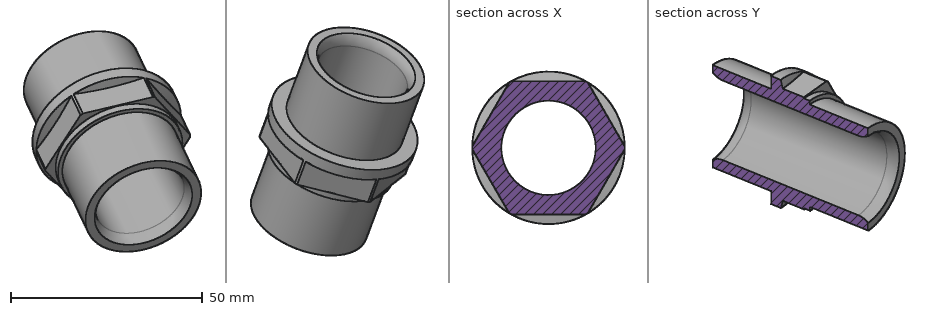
import cadquery as cq
import math

length = 51.0
pipe_diameter = 32.0
bore_diameter = 24.6
mouth_diameter = 27.0
mouth_flare_radius = 5.0

flange_diameter = 40.0
flange_width = 3.3
hex_across_flats = 35.0
hex_width = 7.6
collar_diameter = 34.35
pipe_end_length = 19.05
flange_back_angle = 15.0

left_end = -length / 2
right_end = length / 2
flange_start = left_end + pipe_end_length
flange_end = flange_start + flange_width
hex_end = flange_end + hex_width
collar_end = right_end - pipe_end_length


def cylinder(diameter, start, end):
    """Solid cylinder about the X axis between two X positions."""
    return cq.Workplane("YZ", origin=(start, 0, 0)).circle(diameter / 2).extrude(end - start)


def make_flange():
    """Disc whose back face is conical and fades into the hexagon flats."""
    inner_radius = pipe_diameter / 2
    outer_radius = flange_diameter / 2
    cone_length = (outer_radius - inner_radius) * math.tan(math.radians(flange_back_angle))
    outline = cq.Workplane("XY").polyline([
        (flange_start, 0),
        (flange_start, outer_radius),
        (flange_end, outer_radius),
        (flange_end + cone_length, inner_radius),
        (flange_end + cone_length, 0),
    ])
    return outline.close().revolve(360, (0, 0, 0), (1, 0, 0))


def make_hexagon():
    """Hexagon with flats on +Z and -Z and corners rounded to the flange diameter."""
    across_corners = hex_across_flats / math.cos(math.radians(30))
    prism = (
        cq.Workplane("YZ", origin=(flange_start, 0, 0))
        .polygon(6, across_corners)
        .extrude(hex_end - flange_start)
    )
    return prism.intersect(cylinder(flange_diameter, flange_start, hex_end))


def make_bore():
    """Through bore whose ends flare out along arcs tangent to the bore wall."""
    bore_radius = bore_diameter / 2
    mouth_radius = mouth_diameter / 2
    flare_rise = mouth_radius - bore_radius
    flare_angle = math.acos(1 - flare_rise / mouth_flare_radius)
    flare_depth = mouth_flare_radius * math.sin(flare_angle)

    middle_offset = mouth_flare_radius * math.sin(flare_angle / 2)
    middle_radius = bore_radius + mouth_flare_radius * (1 - math.cos(flare_angle / 2))

    left_tangent = left_end + flare_depth
    right_tangent = right_end - flare_depth
    outline = (
        cq.Workplane("XY")
        .moveTo(left_end, 0)
        .lineTo(left_end, mouth_radius)
        .threePointArc((left_tangent - middle_offset, middle_radius), (left_tangent, bore_radius))
        .lineTo(right_tangent, bore_radius)
        .threePointArc((right_tangent + middle_offset, middle_radius), (right_end, mouth_radius))
        .lineTo(right_end, 0)
        .close()
    )
    return outline.revolve(360, (0, 0, 0), (1, 0, 0))


pipe = cylinder(pipe_diameter, left_end, right_end)
collar = cylinder(collar_diameter, flange_start, collar_end)
body = pipe.union(collar).union(make_flange()).union(make_hexagon())
result = body.cut(make_bore())